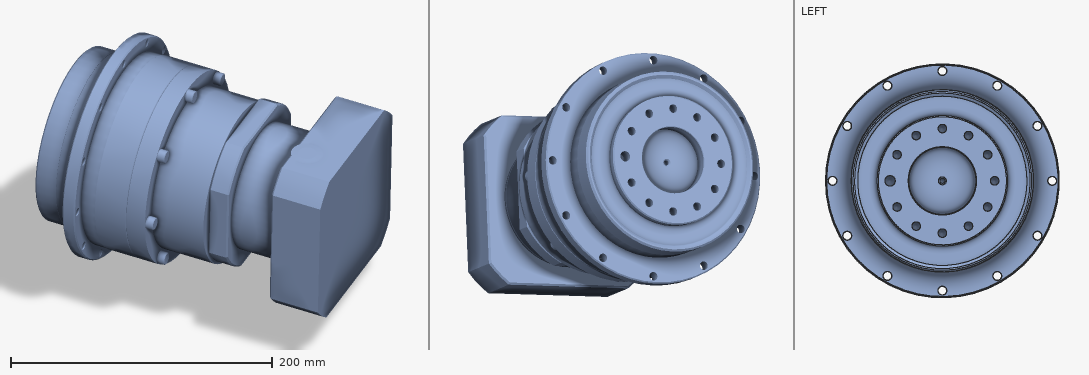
import cadquery as cq
import math


OUTPUT_FACE_X = 0.0
HUB_FACE_X = 5.5
HUB_RELIEF_X = 23.5
FLANGE_FRONT_X = 37.8
FLANGE_BACK_X = 48.3
BODY_RIB_X = 60.0
BODY_SEAM_X = 85.5
BODY_BACK_X = 102.0
JOINT_X = 145.5

OUTPUT_DIA = 100.0
HUB_DIA = 139.7
FLANGE_DIA = 179.0
BODY_DIA = 155.0
REAR_DIA = 130.0
RELIEF = 0.36
EDGE_CHAMFER = 1.0
HUB_CHAMFER = 1.5
SEAM_WIDTH = 1.0
SEAM_DEPTH = 0.5

RING_OUTER_DIA = 134.3
RING_FLOOR_DIA = 129.5
RING_DEPTH = 2.0

RECESS_DIA = 51.5
RECESS_DEPTH = 12.1
RECESS_CHAMFER = 0.5
CENTRE_HOLE_DIA = 4.0
CENTRE_SINK_DIA = 6.0
CENTRE_HOLE_DEPTH = 7.3
CENTRE_SINK_DEPTH = (CENTRE_SINK_DIA - CENTRE_HOLE_DIA) / 2
OUTPUT_HOLE_COUNT = 12
OUTPUT_HOLE_DIA = 6.5
OUTPUT_HOLE_DEPTH = 12.1
OUTPUT_HOLE_CIRCLE_DIA = 80.0
DOWEL_HOLE_DIA = 8.0
DRILL_POINT_ANGLE = 118.0

FLANGE_HOLE_COUNT = 12
FLANGE_HOLE_DIA = 6.5
FLANGE_HOLE_CIRCLE_DIA = 168.0
SCREW_COUNT = 8
SCREW_HEAD_DIA = 10.0
SCREW_HEAD_HEIGHT = 6.0
SCREW_HEAD_CHAMFER = 0.5
SCREW_CIRCLE_DIA = 143.5

ADAPTER_OFFSET_Y = 2.2
ADAPTER_OFFSET_Z = 1.2
ADAPTER_TILT = -2.5
COLLAR_SIDE = 115.0
COLLAR_CORNER_DIA = 130.0
COLLAR_BACK_X = 161.7
COLLAR_CHAMFER = 1.2
NECK_DIA = 102.0
NECK_GROOVE_X = 198.1
NECK_GROOVE_WIDTH = 1.5
NECK_GROOVE_DEPTH = 0.5
BLOCK_SIDE = 131.5
BLOCK_CORNER_DIA = 165.0
BLOCK_FRONT_X = 201.3
BLOCK_BACK_X = 242.5
BLOCK_CHAMFER = 1.5

PLUG_X = 212.5
PLUG_Y = -25.0
PLUG_DIA = 25.2
PLUG_TOP_DIA = 14.5
PLUG_THICKNESS = 1.0
PLUG_RISE = 0.2


def disc(start_x, end_x, diameter, front_chamfer=0.0, back_chamfer=0.0):
    """Cylinder on the X axis, with optional chamfers on its two rims."""
    cylinder = cq.Workplane("YZ", origin=(start_x, 0, 0)).circle(diameter / 2).extrude(end_x - start_x)
    if front_chamfer:
        cylinder = cylinder.faces("<X").chamfer(front_chamfer)
    if back_chamfer:
        cylinder = cylinder.faces(">X").chamfer(back_chamfer)
    return cylinder


def cone(start_x, start_dia, end_dia, length):
    """Truncated cone on the X axis."""
    solid = cq.Solid.makeCone(
        start_dia / 2, end_dia / 2, length, cq.Vector(start_x, 0, 0), cq.Vector(1, 0, 0)
    )
    return cq.Workplane(solid)


def v_groove(start_x, width, depth, diameter):
    """Ring that cuts a V-shaped groove into a cylinder of the given diameter."""
    radius = diameter / 2
    return (
        cq.Workplane("XY")
        .moveTo(start_x, radius)
        .lineTo(start_x + width / 2, radius - depth)
        .lineTo(start_x + width, radius)
        .close()
        .revolve(360, (0, 0, 0), (1, 0, 0))
    )


def drilled_hole(start_x, diameter, depth):
    """Blind hole on the X axis with a conical drill point."""
    point_length = diameter / 2 / math.tan(math.radians(DRILL_POINT_ANGLE / 2))
    point = cone(start_x + depth, diameter, 0, point_length)
    return disc(start_x, start_x + depth, diameter).union(point)


def on_circle(shape, circle_dia, angle):
    """Move a shape from the X axis to a bolt circle; 0 degrees is +Y."""
    return shape.translate((0, circle_dia / 2, 0)).rotate((0, 0, 0), (1, 0, 0), angle)


def stepped_housing():
    """Stepped round outside of the gearbox."""
    sections = [
        disc(HUB_FACE_X, HUB_RELIEF_X, HUB_DIA, front_chamfer=HUB_CHAMFER),
        disc(HUB_RELIEF_X, FLANGE_FRONT_X, HUB_DIA - 2 * RELIEF),
        disc(FLANGE_FRONT_X, FLANGE_BACK_X, FLANGE_DIA, EDGE_CHAMFER, EDGE_CHAMFER),
        disc(FLANGE_BACK_X, BODY_RIB_X, BODY_DIA - 2 * RELIEF),
        disc(BODY_RIB_X, BODY_BACK_X, BODY_DIA),
        disc(BODY_BACK_X, JOINT_X, REAR_DIA),
    ]
    housing = sections[0]
    for section in sections[1:]:
        housing = housing.union(section)
    return housing.cut(v_groove(BODY_SEAM_X, SEAM_WIDTH, SEAM_DEPTH, BODY_DIA))


def sunk_ring():
    """Shallow recess with a sloping wall in the hub face."""
    return cone(HUB_FACE_X, RING_OUTER_DIA, RING_FLOOR_DIA, RING_DEPTH)


def output_disc():
    return disc(OUTPUT_FACE_X, HUB_FACE_X + RING_DEPTH, OUTPUT_DIA, front_chamfer=EDGE_CHAMFER)


def output_recess():
    """Central recess with a chamfered rim and a countersunk centre hole in its floor."""
    floor_x = OUTPUT_FACE_X + RECESS_DEPTH
    recess = disc(OUTPUT_FACE_X, floor_x, RECESS_DIA)
    rim = cone(OUTPUT_FACE_X, RECESS_DIA + 2 * RECESS_CHAMFER, RECESS_DIA, RECESS_CHAMFER)
    centre_hole = drilled_hole(floor_x, CENTRE_HOLE_DIA, CENTRE_HOLE_DEPTH)
    sink = cone(floor_x, CENTRE_SINK_DIA, CENTRE_HOLE_DIA, CENTRE_SINK_DEPTH)
    return recess.union(rim).union(centre_hole).union(sink)


def gearbox():
    body = stepped_housing().cut(sunk_ring()).union(output_disc()).cut(output_recess())

    for index in range(OUTPUT_HOLE_COUNT):
        diameter = DOWEL_HOLE_DIA if index == 0 else OUTPUT_HOLE_DIA
        hole = drilled_hole(OUTPUT_FACE_X, diameter, OUTPUT_HOLE_DEPTH)
        body = body.cut(on_circle(hole, OUTPUT_HOLE_CIRCLE_DIA, index * 360 / OUTPUT_HOLE_COUNT))

    flange_hole = disc(FLANGE_FRONT_X, FLANGE_BACK_X, FLANGE_HOLE_DIA)
    for index in range(FLANGE_HOLE_COUNT):
        body = body.cut(on_circle(flange_hole, FLANGE_HOLE_CIRCLE_DIA, index * 360 / FLANGE_HOLE_COUNT))

    screw_head = disc(
        BODY_BACK_X, BODY_BACK_X + SCREW_HEAD_HEIGHT, SCREW_HEAD_DIA, back_chamfer=SCREW_HEAD_CHAMFER
    )
    for index in range(SCREW_COUNT):
        body = body.union(on_circle(screw_head, SCREW_CIRCLE_DIA, index * 360 / SCREW_COUNT))
    return body


def turned_square(start_x, end_x, side, corner_dia):
    """Square plate on the X axis with its corners turned to a circle."""
    square = cq.Workplane("YZ", origin=(start_x, 0, 0)).rect(side, side).extrude(end_x - start_x)
    return square.intersect(disc(start_x, end_x, corner_dia))


def access_plug():
    """Thin round plug on the top of the block, with a slightly raised middle."""
    block_top = BLOCK_SIDE / 2
    plate = (
        cq.Workplane("XY", origin=(PLUG_X, PLUG_Y, block_top - PLUG_THICKNESS))
        .circle(PLUG_DIA / 2)
        .extrude(PLUG_THICKNESS)
    )
    crown = cq.Solid.makeCone(
        PLUG_DIA / 2, PLUG_TOP_DIA / 2, PLUG_RISE, cq.Vector(PLUG_X, PLUG_Y, block_top)
    )
    return plate.union(cq.Workplane(crown))


def adapter():
    collar = turned_square(JOINT_X, COLLAR_BACK_X, COLLAR_SIDE, COLLAR_CORNER_DIA)
    collar = collar.faces("<X or >X").chamfer(COLLAR_CHAMFER)

    neck = disc(COLLAR_BACK_X, BLOCK_FRONT_X, NECK_DIA)
    neck = neck.cut(v_groove(NECK_GROOVE_X, NECK_GROOVE_WIDTH, NECK_GROOVE_DEPTH, NECK_DIA))

    block = turned_square(BLOCK_FRONT_X, BLOCK_BACK_X, BLOCK_SIDE, BLOCK_CORNER_DIA)
    block = block.faces("<X").chamfer(BLOCK_CHAMFER)

    body = collar.union(neck).union(block).union(access_plug())
    tilted = body.rotate((0, 0, 0), (1, 0, 0), ADAPTER_TILT)
    return tilted.translate((0, ADAPTER_OFFSET_Y, ADAPTER_OFFSET_Z))


gearbox_body = gearbox()
adapter_body = adapter()

result = cq.Compound.makeCompound([gearbox_body.val(), adapter_body.val()])